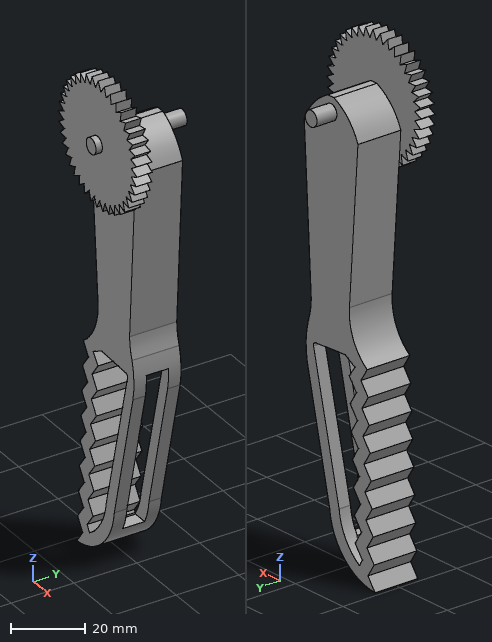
import cadquery as cq
import math


TOTAL_LENGTH = 155.4
ARM_THICKNESS = 15.0

GEAR_DIAMETER = 40.0
GEAR_THICKNESS = 5.0
GEAR_TEETH = 40
GEAR_TOOTH_DEPTH = 2.6
GEAR_TURN = -1.1

PIN_DIAMETER = 5.0
PIN_FRONT_STICKOUT = 2.0
PIN_BACK_STICKOUT = 7.0

HEAD_TOP_Z = 4.7
HEAD_FLAT_WIDTH = 2.5
HEAD_SHOULDER_Z = -5.8
HEAD_SHOULDER_HALF_WIDTH = 11.3
HEAD_ARC_BULGE = 1.4
NECK_LEFT = (-7.8, -55.0)
NECK_RIGHT = (8.4, -57.8)

LEFT_FLARE_MIDDLE = (-9.8, -64.7)
RIGHT_FLARE_MIDDLE = (8.7, -61.2)
RIGHT_FLARE_END = (9.6, -64.7)
SHOULDER_MIDDLE = (10.5, -70.9)
SHOULDER_END = (10.1, -76.8)

JAW_TEETH = 8
JAW_PITCH = 8.1
JAW_PITCH_LEAN = 0.42
JAW_TOOTH_DEPTH = 2.8
FIRST_TIP_X = -15.2
JAW_TIP_Z = GEAR_DIAMETER / 2 - TOTAL_LENGTH

BACK_CURVE_START = (0.6, -117.0)
BACK_CURVE_MIDDLE = (-5.1, -129.3)

TOOTHED_WALL = 5.0
WINDOW_UPPER_LEFT = (-10.1, -71.8)
WINDOW_TOP_LEFT = (-5.9, -69.5)
WINDOW_TOP_RIGHT = (7.6, -70.2)
WINDOW_CORNER_RADIUS = 1.0
WINDOW_CURVE_START = (-3.4, -115.8)
WINDOW_CURVE_MIDDLE = (-6.4, -124.0)
WINDOW_CURVE_END = (-12.0, -129.6)

SLOT_WIDTH = 7.0
SLOT_TOP_Z = WINDOW_TOP_RIGHT[1]
SLOT_BOTTOM_Z = -124.3
SLOT_LEFT_X = -6.2
SLOT_REACH = 18.7


def jaw_tip(index, wall=0.0):
    """Tooth tip of the jaw, counted downward from 0, moved inward square to the row of tips."""
    x = FIRST_TIP_X - index * JAW_PITCH_LEAN + wall
    z = JAW_TIP_Z + (JAW_TEETH - index) * JAW_PITCH - wall * JAW_PITCH_LEAN / JAW_PITCH
    return x, z


def jaw_valley(index, wall=0.0):
    """Point of the toothed edge at the valley below the tip of the same number."""
    x, z = jaw_tip(index + 0.5, wall)
    return x + JAW_TOOTH_DEPTH, z


def make_arm_blank():
    """Solid arm from the rounded head to the tip of the jaw."""
    shoulder = (HEAD_SHOULDER_HALF_WIDTH, HEAD_SHOULDER_Z)
    flat_end = (HEAD_FLAT_WIDTH / 2, HEAD_TOP_Z)
    outline = (
        cq.Workplane("XZ")
        .moveTo(-shoulder[0], shoulder[1])
        .sagittaArc((-flat_end[0], flat_end[1]), HEAD_ARC_BULGE)
        .lineTo(*flat_end)
        .sagittaArc(shoulder, HEAD_ARC_BULGE)
        .lineTo(*NECK_RIGHT)
        .threePointArc(RIGHT_FLARE_MIDDLE, RIGHT_FLARE_END)
        .threePointArc(SHOULDER_MIDDLE, SHOULDER_END)
        .lineTo(*BACK_CURVE_START)
        .threePointArc(BACK_CURVE_MIDDLE, jaw_tip(JAW_TEETH))
    )
    for index in reversed(range(JAW_TEETH)):
        outline = outline.lineTo(*jaw_valley(index)).lineTo(*jaw_tip(index))
    outline = (
        outline.threePointArc(LEFT_FLARE_MIDDLE, NECK_LEFT).close()
    )
    return outline.extrude(-ARM_THICKNESS)


def make_window():
    """Opening in the jaw; its left side follows the teeth, leaving a wall of even width."""
    outline = (
        cq.Workplane("XZ")
        .moveTo(*WINDOW_TOP_LEFT)
        .lineTo(*WINDOW_TOP_RIGHT)
        .lineTo(*WINDOW_CURVE_START)
        .threePointArc(WINDOW_CURVE_MIDDLE, WINDOW_CURVE_END)
    )
    for index in reversed(range(1, JAW_TEETH)):
        outline = outline.lineTo(*jaw_tip(index, TOOTHED_WALL))
        outline = outline.lineTo(*jaw_valley(index - 1, TOOTHED_WALL))
    window = outline.lineTo(*WINDOW_UPPER_LEFT).close().extrude(-ARM_THICKNESS)
    return window.edges("|Y").edges(">X").fillet(WINDOW_CORNER_RADIUS)


def make_slot():
    """Slot at mid-thickness through the smooth back strut of the jaw, open to the +X side."""
    height = SLOT_TOP_Z - SLOT_BOTTOM_Z
    front_y = (ARM_THICKNESS - SLOT_WIDTH) / 2
    slot = cq.Workplane("XY").box(SLOT_REACH, SLOT_WIDTH, height, centered=False)
    return slot.translate((SLOT_LEFT_X, front_y, SLOT_BOTTOM_Z))


def make_toothed_wheel():
    """Wheel with pointed straight-sided teeth, in front of the arm."""
    points = []
    for step in range(2 * GEAR_TEETH):
        radius = GEAR_DIAMETER / 2 - (step % 2) * GEAR_TOOTH_DEPTH
        angle = math.radians(GEAR_TURN + step * 180.0 / GEAR_TEETH)
        points.append((radius * math.cos(angle), radius * math.sin(angle)))
    return cq.Workplane("XZ").polyline(points).close().extrude(GEAR_THICKNESS)


def make_pin():
    """Plain pivot pin, long enough to stick out of the gear and of the arm."""
    front_y = -GEAR_THICKNESS - PIN_FRONT_STICKOUT
    length = PIN_FRONT_STICKOUT + GEAR_THICKNESS + ARM_THICKNESS + PIN_BACK_STICKOUT
    return cq.Workplane("XZ", origin=(0, front_y, 0)).circle(PIN_DIAMETER / 2).extrude(-length)


def make_finger():
    """Finger body: slotted arm with its pivot pin."""
    arm = make_arm_blank().cut(make_window()).cut(make_slot())
    return arm.union(make_pin())


def make_gear():
    """Gear body: toothed wheel with a hole that the pivot pin fills."""
    return make_toothed_wheel().cut(make_pin())


finger = make_finger()
gear = make_gear()

result = cq.Compound.makeCompound([finger.val(), gear.val()])